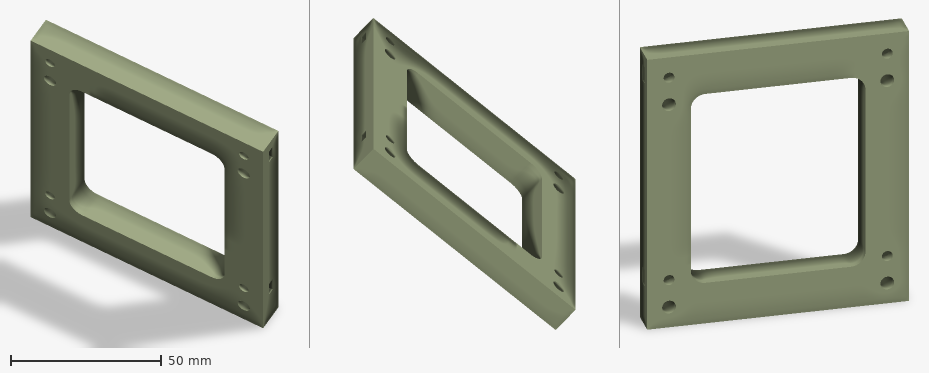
import cadquery as cq

plate_width = 90.0
plate_thickness = 10.0
plate_height = 100.0

border = 15.0
window_width = plate_width - 2 * border
window_height = plate_height - 2 * border
window_corner_radius = 5.0

hole_inset = 7.5
hole_x = plate_width / 2 - hole_inset
outer_row_z = plate_height / 2 - hole_inset
row_spacing = 10.0
inner_row_z = outer_row_z - row_spacing
small_hole_diameter = 3.7
large_hole_diameter = 4.7
small_hole_rows = (outer_row_z, -inner_row_z)
large_hole_rows = (inner_row_z, -outer_row_z)

slot_thickness = 2.6
slot_height = 5.9
slot_depth = hole_inset + slot_height / 2


def through_holes(diameter, rows):
    """Cylinders through the plate thickness, one per side in each row."""
    points = [(side * hole_x, z) for z in rows for side in (-1, 1)]
    return (
        cq.Workplane("XZ")
        .pushPoints(points)
        .circle(diameter / 2)
        .extrude(plate_thickness / 2, both=True)
    )


def window():
    """Rounded rectangular opening through the middle of the plate."""
    return (
        cq.Workplane("XZ")
        .rect(window_width, window_height)
        .extrude(plate_thickness / 2, both=True)
        .edges("|Y")
        .fillet(window_corner_radius)
    )


def nut_slot(side, z):
    """Blind pocket from one side face that reaches past a small hole."""
    slot_x = side * (plate_width - slot_depth) / 2
    return cq.Workplane("XY").box(slot_depth, slot_thickness, slot_height).translate((slot_x, 0, z))


result = cq.Workplane("XY").box(plate_width, plate_thickness, plate_height)
result = result.cut(window())
result = result.cut(through_holes(small_hole_diameter, small_hole_rows))
result = result.cut(through_holes(large_hole_diameter, large_hole_rows))
for side in (-1, 1):
    for row_z in small_hole_rows:
        result = result.cut(nut_slot(side, row_z))